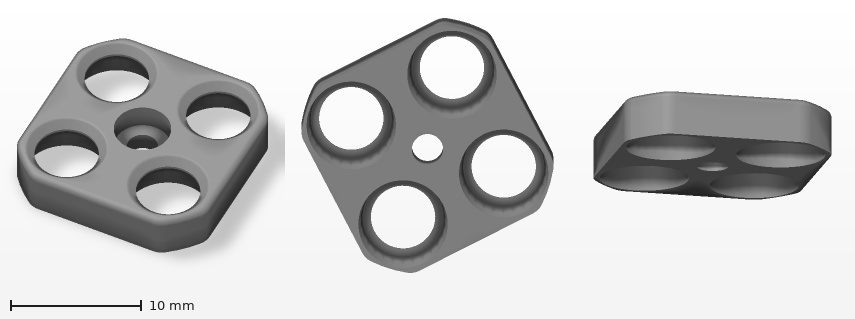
import cadquery as cq
import math

length_x = 16.28
width_y = 16.26
thickness = 3.5
corner_arc_radius = 9.75
corner_blend_radius = 1.58
top_edge_radius = 0.5

socket_offset = 4.33
neck_diameter = 4.93
neck_radius = neck_diameter / 2
neck_length = 0.2
countersink_depth = 0.63
countersink_slope = math.radians(45)
rim_blend_radius = 0.28
pocket_roof_radius = 3.11
pocket_mouth_radius = 3.42

screw_hole_diameter = 2.4
screw_head_diameter = 4.4
screw_head_depth = 2.0


def make_plate():
    """Square plate trimmed by a disc, with blended corners and a rounded top edge."""
    square = cq.Workplane("XY").box(length_x, width_y, thickness, centered=(True, True, False))
    disc = cq.Workplane("XY").circle(corner_arc_radius).extrude(thickness)
    plate = square.intersect(disc).edges("|Z").fillet(corner_blend_radius)
    return plate.faces(">Z").edges().fillet(top_edge_radius)


def make_socket_cutter():
    """Revolved cavity: tapered pocket below, short neck, blended countersink above."""
    neck_top = thickness - countersink_depth
    neck_bottom = neck_top - neck_length

    half_slope = countersink_slope / 2
    tangent_length = rim_blend_radius * math.tan(half_slope)
    cone_top_radius = neck_radius + countersink_depth / math.tan(countersink_slope)
    rim_radius = cone_top_radius + tangent_length
    blend_start = (
        cone_top_radius - tangent_length * math.cos(countersink_slope),
        thickness - tangent_length * math.sin(countersink_slope),
    )
    blend_middle = (
        rim_radius - rim_blend_radius * math.sin(half_slope),
        thickness - rim_blend_radius * (1 - math.cos(half_slope)),
    )

    profile = (
        cq.Workplane("XZ")
        .moveTo(0, 0)
        .lineTo(pocket_mouth_radius, 0)
        .lineTo(pocket_roof_radius, neck_bottom)
        .lineTo(neck_radius, neck_bottom)
        .lineTo(neck_radius, neck_top)
        .lineTo(*blend_start)
        .threePointArc(blend_middle, (rim_radius, thickness))
        .lineTo(0, thickness)
        .close()
    )
    return profile.revolve(360, (0, 0, 0), (0, 1, 0))


def make_screw_cutter():
    """Through hole with a flat-bottomed counterbore from the top."""
    hole = cq.Workplane("XY").circle(screw_hole_diameter / 2).extrude(thickness)
    head = (
        cq.Workplane("XY")
        .workplane(offset=thickness - screw_head_depth)
        .circle(screw_head_diameter / 2)
        .extrude(screw_head_depth)
    )
    return hole.union(head)


result = make_plate().cut(make_screw_cutter())
socket_cutter = make_socket_cutter()
for side_x in (-1, 1):
    for side_y in (-1, 1):
        position = (side_x * socket_offset, side_y * socket_offset, 0)
        result = result.cut(socket_cutter.translate(position))